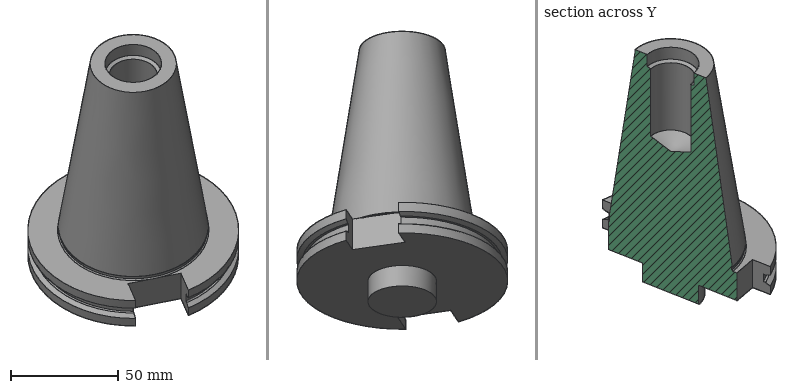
import cadquery as cq
import math

total_height = 131.6
flange_bottom = 10.8
flange_top = 26.8
neck_bottom = 27.4
neck_top = 28.8
taper_start = 29.1

pilot_diameter = 32.0
flange_diameter = 98.5
groove_diameter = 91.1
groove_flare_diameter = 93.5
neck_base_diameter = 70.7
neck_diameter = 69.4
taper_diameter = 70.1
taper_ratio = 7 / 24
nose_diameter = taper_diameter - taper_ratio * (total_height - taper_start)

groove_floor_width = 4.2
groove_mouth_width = 6.5

slot_width = 25.7
left_slot_floor = 37.5
right_slot_floor = 35.3

counterbore_diameter = 26.3
counterbore_depth = 6.8
bore_diameter = 22.5
bore_depth = 46.0
floor_angle = 140.0


def revolve_profile(points):
    """Revolve a closed (radius, height) outline about the Z axis."""
    return cq.Workplane("XZ").polyline(points).close().revolve(360, (0, 0), (0, 1))


def make_body():
    pilot_radius = pilot_diameter / 2
    flange_radius = flange_diameter / 2
    groove_radius = groove_diameter / 2
    flare_radius = groove_flare_diameter / 2
    neck_radius = neck_diameter / 2
    groove_center = (flange_bottom + flange_top) / 2
    half_floor = groove_floor_width / 2
    half_mouth = groove_mouth_width / 2
    return revolve_profile([
        (0, 0),
        (pilot_radius, 0),
        (pilot_radius, flange_bottom),
        (flange_radius, flange_bottom),
        (flange_radius, groove_center - half_mouth),
        (flare_radius, groove_center - half_floor),
        (groove_radius, groove_center - half_floor),
        (groove_radius, groove_center + half_floor),
        (flare_radius, groove_center + half_floor),
        (flange_radius, groove_center + half_mouth),
        (flange_radius, flange_top),
        (neck_base_diameter / 2, flange_top),
        (neck_radius, neck_bottom),
        (neck_radius, neck_top),
        (taper_diameter / 2, taper_start),
        (nose_diameter / 2, total_height),
        (0, total_height),
    ])


def make_bore():
    bore_radius = bore_diameter / 2
    counterbore_radius = counterbore_diameter / 2
    counterbore_floor = total_height - counterbore_depth
    bore_floor = total_height - bore_depth
    floor_slope = 1 / math.tan(math.radians(floor_angle / 2))
    point_depth = bore_radius * floor_slope
    counterbore_floor_drop = (counterbore_radius - bore_radius) * floor_slope
    return revolve_profile([
        (0, bore_floor - point_depth),
        (bore_radius, bore_floor),
        (bore_radius, counterbore_floor - counterbore_floor_drop),
        (counterbore_radius, counterbore_floor),
        (counterbore_radius, total_height),
        (0, total_height),
    ])


def make_drive_slot(side, floor_distance):
    """Slot cutter on the given side (-1 or +1) of the X axis."""
    reach = flange_diameter / 2
    return cq.Workplane("XY").box(
        reach, slot_width, flange_top - flange_bottom, centered=(True, True, False)
    ).translate((side * (floor_distance + reach / 2), 0, flange_bottom))


result = make_body().cut(make_bore())
for side, floor_distance in ((-1, left_slot_floor), (1, right_slot_floor)):
    result = result.cut(make_drive_slot(side, floor_distance))